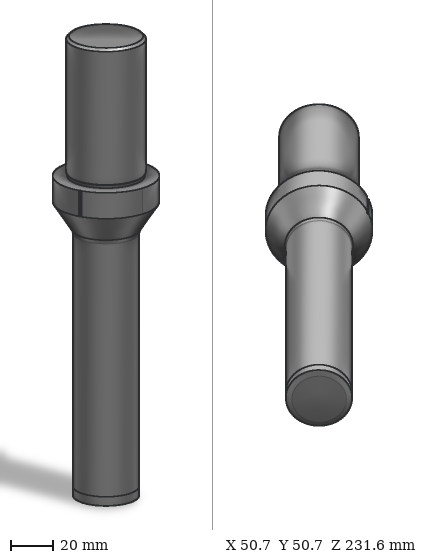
import cadquery as cq

TOTAL_LENGTH = 231.6
POINT_HEIGHT = 0.5
TIP_BEVEL_TOP = 1.5
TIP_TOP = 6.0
BODY_TOP = 133.0
CONE_START = 134.8
FLANGE_BOTTOM = 148.7
FLANGE_TOP = 161.7
NECK_TOP = 163.0

BODY_RADIUS = 15.8
CONE_START_RADIUS = 16.2
FLANGE_DIAMETER = 50.7
FLANGE_RADIUS = FLANGE_DIAMETER / 2
SHANK_RADIUS = 19.0
NECK_RADIUS = 18.5
SHANK_CHAMFER = 1.5
SHANK_FOOT_CHAMFER = SHANK_RADIUS - NECK_RADIUS
TIP_FACE_RADIUS = 13.0

MARK_X = 7.9
MARK_WIDTH = 1.5
MARK_DEPTH = 0.2


def make_cutting_tip():
    """Short cylinder with a bevelled lower edge and a very flat conical point."""
    profile = [
        (0, 0),
        (TIP_FACE_RADIUS, POINT_HEIGHT),
        (BODY_RADIUS, TIP_BEVEL_TOP),
        (BODY_RADIUS, TIP_TOP),
        (0, TIP_TOP),
    ]
    return cq.Workplane("XZ").polyline(profile).close().revolve(360, (0, 0), (0, 1))


def make_turned_holder():
    """Body, flared collar, flange, relief neck and clamping shank in one turning."""
    profile = [
        (0, TIP_TOP),
        (BODY_RADIUS, TIP_TOP),
        (BODY_RADIUS, BODY_TOP),
        (CONE_START_RADIUS, CONE_START),
        (FLANGE_RADIUS, FLANGE_BOTTOM),
        (FLANGE_RADIUS, FLANGE_TOP),
        (NECK_RADIUS, FLANGE_TOP),
        (NECK_RADIUS, NECK_TOP),
        (SHANK_RADIUS, NECK_TOP + SHANK_FOOT_CHAMFER),
        (SHANK_RADIUS, TOTAL_LENGTH - SHANK_CHAMFER),
        (SHANK_RADIUS - SHANK_CHAMFER, TOTAL_LENGTH),
        (0, TOTAL_LENGTH),
    ]
    return cq.Workplane("XZ").polyline(profile).close().revolve(360, (0, 0), (0, 1))


def make_flange_mark():
    """Cutter that leaves a shallow groove along the full height of the flange rim."""
    rim_y = -(FLANGE_RADIUS**2 - MARK_X**2) ** 0.5
    height = FLANGE_TOP - FLANGE_BOTTOM
    rim_slope = MARK_X / abs(rim_y)
    cutter_depth = 2 * MARK_DEPTH + MARK_WIDTH * rim_slope
    return (
        cq.Workplane("XY", origin=(MARK_X, rim_y, FLANGE_BOTTOM))
        .rect(MARK_WIDTH, cutter_depth)
        .extrude(height)
    )


cutting_tip = make_cutting_tip()
holder = make_turned_holder().cut(make_flange_mark())

result = cq.Compound.makeCompound([holder.val(), cutting_tip.val()])